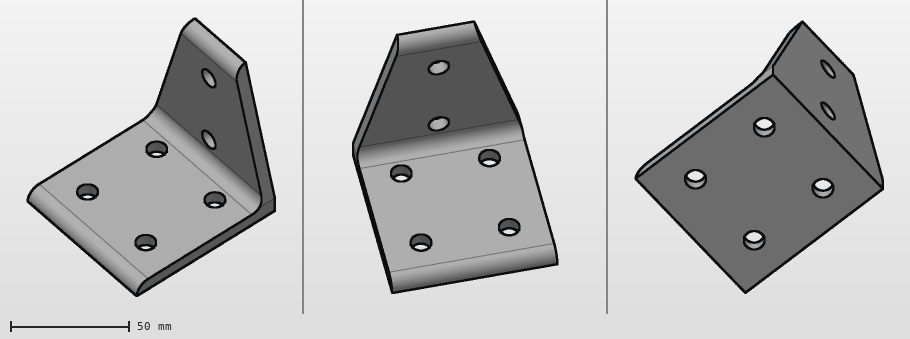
import math

import cadquery as cq

leg_length = 76.2
thickness = 6.35
toe_radius = thickness
root_radius = 6.35
bar_width = 71.37

top_inset = 19.05
taper_start_height = 7.94

hole_diameter = 8.74
hole_pitch = 38.1

half_width = bar_width / 2
half_leg = leg_length / 2
half_pitch = hole_pitch / 2
back_y = half_leg
front_y = -half_leg
upright_face_y = back_y - thickness
mid_arc = math.sqrt(0.5)


def angle_bar():
    """L-shaped bar with rounded toes and a filleted inside corner."""
    root_center_y = upright_face_y - root_radius
    root_center_z = thickness + root_radius
    upright_toe_z = leg_length - toe_radius
    base_toe_y = front_y + toe_radius
    toe_mid = toe_radius * mid_arc
    root_mid = root_radius * mid_arc
    return (
        cq.Workplane("YZ")
        .moveTo(back_y, 0)
        .lineTo(back_y, leg_length)
        .threePointArc(
            (back_y - toe_mid, upright_toe_z + toe_mid),
            (upright_face_y, upright_toe_z),
        )
        .lineTo(upright_face_y, root_center_z)
        .threePointArc(
            (root_center_y + root_mid, root_center_z - root_mid),
            (root_center_y, thickness),
        )
        .lineTo(base_toe_y, thickness)
        .threePointArc((base_toe_y - toe_mid, toe_mid), (front_y, 0))
        .close()
        .extrude(half_width, both=True)
    )


def taper_cut(side):
    """Wedge that slopes the upright leg on one side (side is -1 or +1)."""
    outer_x = side * half_width
    return (
        cq.Workplane("XZ")
        .moveTo(outer_x, taper_start_height)
        .lineTo(outer_x, leg_length)
        .lineTo(outer_x - side * top_inset, leg_length)
        .close()
        .extrude(half_leg, both=True)
    )


def base_holes():
    """Square pattern of four holes through the base leg."""
    return (
        cq.Workplane("XY")
        .rect(hole_pitch, hole_pitch, forConstruction=True)
        .vertices()
        .circle(hole_diameter / 2)
        .extrude(thickness)
    )


def upright_holes():
    """Two holes, one above the other, through the upright leg."""
    hole_heights = (half_leg - half_pitch, half_leg + half_pitch)
    return (
        cq.Workplane("XZ", origin=(0, back_y, 0))
        .pushPoints([(0, height) for height in hole_heights])
        .circle(hole_diameter / 2)
        .extrude(thickness)
    )


result = angle_bar()
for side in (-1, 1):
    result = result.cut(taper_cut(side))
result = result.cut(base_holes()).cut(upright_holes())